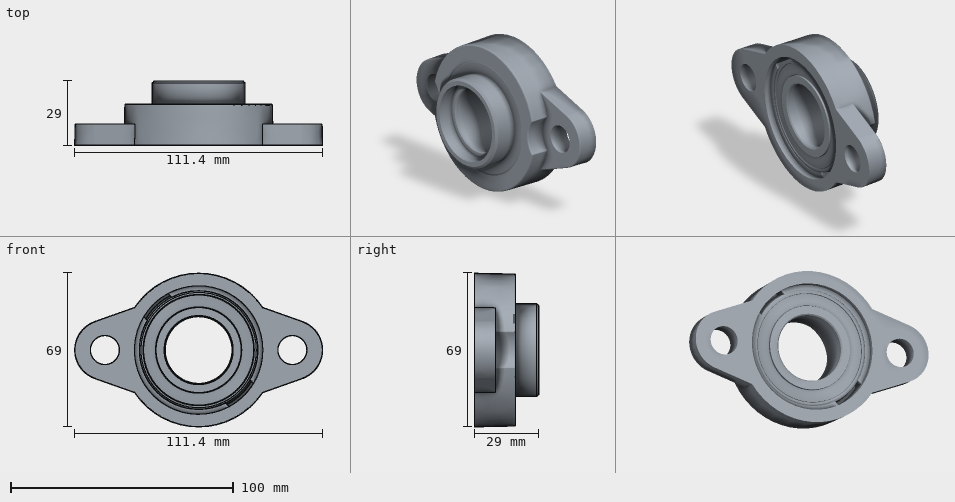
import cadquery as cq
import math


overall_length = 111.4
bolt_spacing = 84.2
bolt_hole_diameter = 12.9
lug_thickness = 9.6
flank_angle = 19.5
lug_edge_round = 0.6

hub_diameter = 69.0
hub_depth = 18.5
draft_angle = 1.2
hub_edge_round = 0.7
bolt_head_clearance_radius = 11.9
clearance_edge_round = 0.6

recess_diameter = 57.7
recess_depth = 3.1
sphere_diameter = 55.2
loading_slot_width = 15.0
loading_slot_angle = 133.5

bore_diameter = 30.0
bore_chamfer = 0.6
counterbore_diameter = 35.6
bore_end = 21.8
collar_diameter = 41.8
collar_end = 29.0
collar_chamfer = 1.0
inner_ring_diameter = 38.2
seal_inner_diameter = 38.8
seal_outer_diameter = 49.4
outer_ring_inner_diameter = 50.0
outer_ring_face_diameter = 51.8
inner_ring_face = 2.8
outer_ring_face = 3.3
seal_face = 3.6
seal_gap_depth = 0.7
outer_ring_chamfer = 0.3

bolt_x = bolt_spacing / 2
lug_end_radius = (overall_length - bolt_spacing) / 2
sphere_radius = sphere_diameter / 2
sphere_center = (recess_depth + hub_depth) / 2
outer_ring_back = 2 * sphere_center - outer_ring_face

MOUNTING_PLANE = cq.Plane(origin=(0, 0, 0), xDir=(1, 0, 0), normal=(0, 1, 0))


def sketch_at(depth):
    return cq.Workplane(MOUNTING_PLANE).workplane(offset=depth)


def make_lugs():
    """Both lugs as one plate: two round ends joined by flanks that meet inside the hub."""
    slope = math.radians(flank_angle)
    tangent_x = bolt_x + lug_end_radius * math.sin(slope)
    tangent_z = lug_end_radius * math.cos(slope)
    apex_z = lug_end_radius / math.cos(slope) + bolt_x * math.tan(slope)
    end_x = overall_length / 2
    plate = (
        sketch_at(0)
        .moveTo(0, apex_z)
        .lineTo(tangent_x, tangent_z)
        .threePointArc((end_x, 0), (tangent_x, -tangent_z))
        .lineTo(0, -apex_z)
        .lineTo(-tangent_x, -tangent_z)
        .threePointArc((-end_x, 0), (-tangent_x, tangent_z))
        .close()
        .extrude(lug_thickness, taper=draft_angle)
    )
    return plate.faces(">Y").edges().fillet(lug_edge_round)


def make_hub():
    """Drafted round hub with a hollow on each side that clears the bolt heads."""
    hub = sketch_at(0).circle(hub_diameter / 2).extrude(hub_depth, taper=draft_angle)
    clearance = (
        sketch_at(lug_thickness)
        .pushPoints([(-bolt_x, 0), (bolt_x, 0)])
        .circle(bolt_head_clearance_radius)
        .extrude(hub_depth)
    )
    hub = hub.cut(clearance)
    mouth_edges = cq.selectors.BoxSelector(
        (-hub_diameter, lug_thickness + clearance_edge_round, -bolt_head_clearance_radius),
        (hub_diameter, hub_depth - clearance_edge_round, bolt_head_clearance_radius),
    )
    hub = hub.edges(mouth_edges).fillet(clearance_edge_round)
    return hub.faces(">Y").edges().fillet(hub_edge_round)


def make_loading_slots():
    """Pair of opposite slots that let the bearing be turned into its spherical seat."""
    slot_depth = sphere_center
    strip = (
        sketch_at(0)
        .rect(recess_diameter, loading_slot_width)
        .extrude(slot_depth)
        .rotate((0, 0, 0), (0, 1, 0), -loading_slot_angle)
    )
    return strip.intersect(sketch_at(0).circle(recess_diameter / 2).extrude(slot_depth))


def make_housing():
    housing = make_lugs().union(make_hub())
    bolt_holes = (
        sketch_at(0)
        .pushPoints([(-bolt_x, 0), (bolt_x, 0)])
        .circle(bolt_hole_diameter / 2)
        .extrude(lug_thickness)
    )
    recess = sketch_at(0).circle(recess_diameter / 2).extrude(recess_depth)
    seat = cq.Workplane("XY").sphere(sphere_radius).translate((0, sphere_center, 0))
    return housing.cut(bolt_holes).cut(recess).cut(seat).cut(make_loading_slots())


def make_seal_gap(inner_diameter, outer_diameter):
    """Ring-shaped groove on the front between a seal edge and the neighbouring ring."""
    return (
        sketch_at(inner_ring_face)
        .circle(outer_diameter / 2)
        .circle(inner_diameter / 2)
        .extrude(seal_face + seal_gap_depth - inner_ring_face)
    )


def make_bearing():
    """Insert turned about Y: spherical outer ring, recessed seal, inner ring and collar."""
    face_radius = outer_ring_face_diameter / 2
    half_width = sphere_center - outer_ring_face - outer_ring_chamfer
    shoulder_radius = math.sqrt(sphere_radius**2 - half_width**2)
    profile = (
        cq.Workplane("XY")
        .moveTo(bore_diameter / 2 + bore_chamfer, inner_ring_face)
        .lineTo(inner_ring_diameter / 2, inner_ring_face)
        .lineTo(inner_ring_diameter / 2, seal_face)
        .lineTo(outer_ring_inner_diameter / 2, seal_face)
        .lineTo(outer_ring_inner_diameter / 2, outer_ring_face)
        .lineTo(face_radius, outer_ring_face)
        .lineTo(shoulder_radius, sphere_center - half_width)
        .threePointArc((sphere_radius, sphere_center), (shoulder_radius, sphere_center + half_width))
        .lineTo(face_radius, outer_ring_back)
        .lineTo(collar_diameter / 2, outer_ring_back)
        .lineTo(collar_diameter / 2, collar_end - collar_chamfer)
        .lineTo(collar_diameter / 2 - collar_chamfer, collar_end)
        .lineTo(counterbore_diameter / 2, collar_end)
        .lineTo(counterbore_diameter / 2, bore_end)
        .lineTo(bore_diameter / 2 + bore_chamfer, bore_end)
        .lineTo(bore_diameter / 2, bore_end - bore_chamfer)
        .lineTo(bore_diameter / 2, inner_ring_face + bore_chamfer)
        .close()
    )
    bearing = profile.revolve(360, (0, 0, 0), (0, 1, 0))
    inner_gap = make_seal_gap(inner_ring_diameter, seal_inner_diameter)
    outer_gap = make_seal_gap(seal_outer_diameter, outer_ring_inner_diameter)
    return bearing.cut(inner_gap).cut(outer_gap)


housing = make_housing()
bearing = make_bearing()

result = cq.Compound.makeCompound([*housing.solids().vals(), *bearing.solids().vals()])